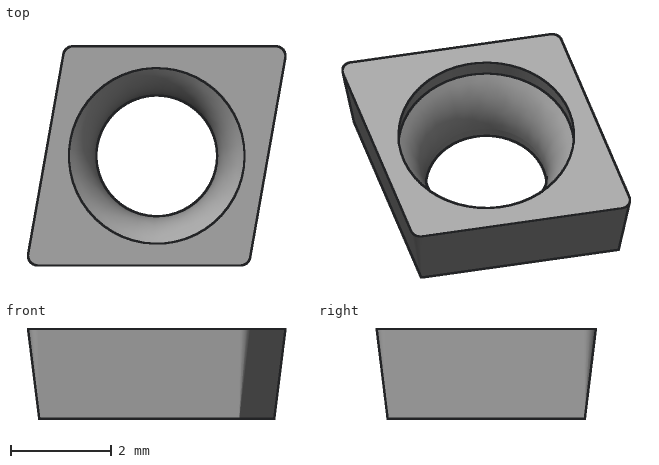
import cadquery as cq
import math

inscribed_diameter = 4.37
thickness = 1.79
corner_angle = 80
relief_angle = 7
nose_radius = 0.2
base_nose_radius = 0.0025

bore_radius = 1.2
recess_radius = 1.75
recess_depth = 0.39
seat_arc_radius = 1.5


def rounded_rhombus(inscribed, radius):
    """Sketch of a rhombus around an inscribed circle, with rounded corners."""
    angle = math.radians(corner_angle)
    half_side = inscribed / math.sin(angle) / 2
    lean = inscribed / math.tan(angle) / 2
    half_height = inscribed / 2
    corners = [
        (-half_side - lean, -half_height),
        (half_side - lean, -half_height),
        (half_side + lean, half_height),
        (-half_side + lean, half_height),
    ]
    return cq.Sketch().polygon(corners + corners[:1]).vertices().fillet(radius)


def tapered_body():
    inset = thickness * math.tan(math.radians(relief_angle))
    base = rounded_rhombus(inscribed_diameter - 2 * inset, base_nose_radius)
    top = rounded_rhombus(inscribed_diameter, nose_radius)
    raised_top = top.moved(cq.Location(cq.Vector(0, 0, thickness)))
    return cq.Workplane("XY").placeSketch(base, raised_top).loft(ruled=True)


def screw_hole():
    """Revolved hole whose seat bulges towards the axis and meets the bore smoothly."""
    flare = recess_radius - bore_radius
    sweep = math.acos(1 - flare / seat_arc_radius)
    recess_floor = thickness - recess_depth
    seat_start = recess_floor - seat_arc_radius * math.sin(sweep)
    seat_middle = (
        bore_radius + seat_arc_radius * (1 - math.cos(sweep / 2)),
        seat_start + seat_arc_radius * math.sin(sweep / 2),
    )
    return (
        cq.Workplane("XZ")
        .lineTo(bore_radius, 0)
        .lineTo(bore_radius, seat_start)
        .threePointArc(seat_middle, (recess_radius, recess_floor))
        .lineTo(recess_radius, thickness)
        .lineTo(0, thickness)
        .close()
        .revolve(360, (0, 0, 0), (0, 1, 0))
    )


result = tapered_body().cut(screw_hole())